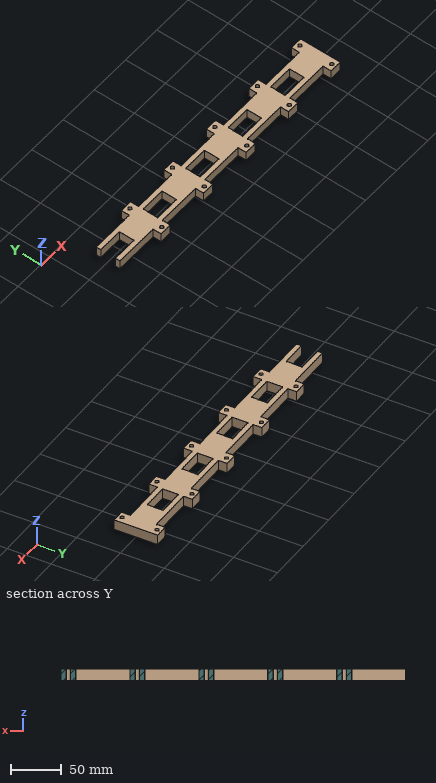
import cadquery as cq

length = 340.0
overall_width = 50.0
thickness = 12.0

segment_count = 5
pitch = length / segment_count

spine_width = 30.0
tab_length = 15.0

window_length = 30.0
window_width = 18.0

hole_diameter = 4.0
tab_width = (overall_width - spine_width) / 2
hole_offset = (overall_width - tab_width) / 2

segment_starts = [i * pitch for i in range(segment_count)]
tab_centers = [start + pitch - tab_length / 2 for start in segment_starts]


def block(x_start, x_size, y_size):
    """Full-thickness block centered on the X axis, standing on Z = 0."""
    return (
        cq.Workplane("XY")
        .box(x_size, y_size, thickness, centered=(False, True, False))
        .translate((x_start, 0, 0))
    )


body = block(0, length, spine_width)
for center in tab_centers:
    body = body.union(block(center - tab_length / 2, tab_length, overall_width))

for start in segment_starts:
    body = body.cut(block(start, window_length, window_width))

hole_points = [(x, side * hole_offset) for x in tab_centers for side in (-1, 1)]
holes = (
    cq.Workplane("XY")
    .pushPoints(hole_points)
    .circle(hole_diameter / 2)
    .extrude(thickness)
)

result = body.cut(holes)